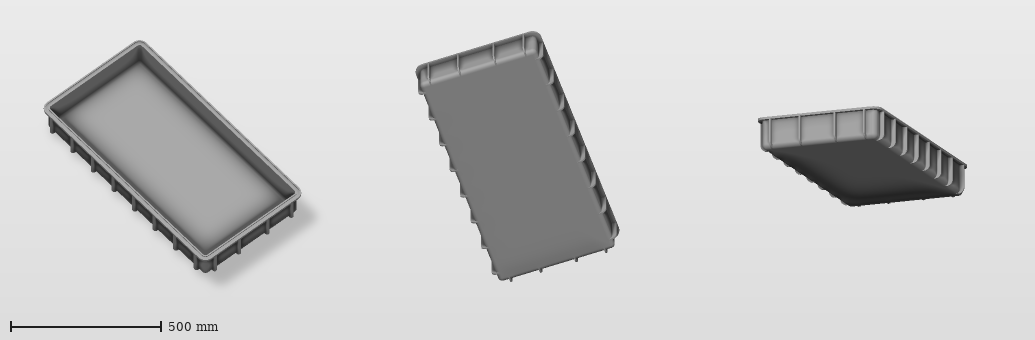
import cadquery as cq

length = 840.0
width = 440.0
height = 105.0

wall = 5.0
overhang = 15.0
rim_height = 8.0
groove_depth = 4.0
lip_width = 5.0

body_radius = 15.0
cavity_radius = body_radius - wall

rib_thickness = 5.0
rib_foot_radius = 20.0
rib_pitch = 105.0
long_side_rib_count = 8
middle_rib_spacing = 125.0


def rounded_block(inset, bottom, top):
    """Plate inset from the rim outline, with plan corners concentric to the body's."""
    corner_radius = overhang + body_radius - inset
    return (
        cq.Workplane("XY")
        .workplane(offset=bottom)
        .rect(length - 2 * inset, width - 2 * inset)
        .extrude(top - bottom)
        .edges("|Z")
        .fillet(corner_radius)
    )


def rib_pair(thickness_x, thickness_y, bottom_edges):
    """Slab spanning the tray whose ends form two opposite ribs, rounded at the foot."""
    return (
        cq.Workplane("XY")
        .box(thickness_x, thickness_y, height - rim_height, centered=(True, True, False))
        .edges(bottom_edges)
        .fillet(rib_foot_radius)
    )


body = rounded_block(overhang, 0, height).faces("<Z").edges().fillet(body_radius)
rim = rounded_block(0, height - rim_height, height)
tray = body.union(rim)

long_side_rib = rib_pair(rib_thickness, width, "<Z and |X")
for i in range(long_side_rib_count):
    x = (i - (long_side_rib_count - 1) / 2) * rib_pitch
    tray = tray.union(long_side_rib.translate((x, 0, 0)))

short_side_rib = rib_pair(length, rib_thickness, "<Z and |Y")
for side in (-1, 1):
    for distance in (middle_rib_spacing / 2, middle_rib_spacing / 2 + rib_pitch):
        tray = tray.union(short_side_rib.translate((0, side * distance, 0)))

groove_floor = height - groove_depth
wall_top = rounded_block(overhang, groove_floor, height)
groove = rounded_block(lip_width, groove_floor, height).cut(wall_top)

cavity = rounded_block(overhang + wall, wall, height).faces("<Z").edges().fillet(cavity_radius)

result = tray.cut(groove).cut(cavity)